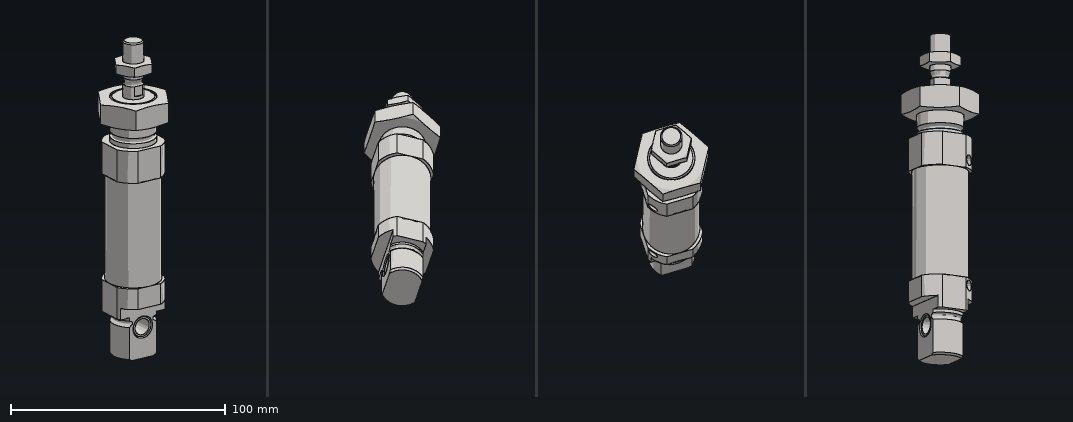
import cadquery as cq
import math


REAR_CAP_BOTTOM = 21.8
REAR_CAP_SHOULDER = 27.4
TUBE_BOTTOM = 37.7
TUBE_TOP = 90.5
FRONT_CAP_TOP = 106.4
MOUNT_NUT_BOTTOM = 117.5
MOUNT_NUT_TOP = 128.5
ROD_NUT_BOTTOM = 141.2
ROD_NUT_TOP = 146.3
ROD_TOP = 156.5

TUBE_DIAMETER = 26.8
CAP_DIAMETER = 29.7
CAP_ACROSS_FLATS = 26.9

NECK_DIAMETER = 22.0
NECK_CHAMFER = 1.0
UNDERCUT_DIAMETER = 19.7
FRONT_COLLAR_TOP = 108.8
FRONT_THREAD_BOTTOM = 111.5
REAR_COLLAR_BOTTOM = 20.2
REAR_THREAD_TOP = 16.9
COLLAR_TAPER_LENGTH = 0.8
UNDERCUT_CONE_LENGTH = 1.4
UNDERCUT_FILLET = 0.3

TONGUE_THICKNESS = 16.0
PIVOT_HEIGHT = 15.6
PIVOT_DIAMETER = 8.0
PIVOT_RECESS_DIAMETER = 9.9
PIVOT_MOUTH_DIAMETER = 11.0

PORT_DIAMETER = 5.0
PORT_DEPTH = 6.3
PORT_ANGLE = 127.0
PORT_HEIGHTS = (34.3, 94.5)

ROD_DIAMETER = 10.0
ROD_CHAMFER = 0.6
ROD_BOTTOM = FRONT_CAP_TOP
ROD_THREAD_BOTTOM = 138.3
ROD_UNDERCUT_DIAMETER = 8.5
ROD_UNDERCUT_FILLET = 0.3
ROD_UNDERCUT_TOP = 136.2
ROD_SHOULDER = 134.9
ROD_ACROSS_FLATS = 8.9
ROD_FLATS_BOTTOM = 130.0

MOUNT_NUT_ACROSS_FLATS = 32.0
ROD_NUT_ACROSS_FLATS = 17.0
NUT_CHAMFER_ANGLE = 15.0


def cylinder(diameter, bottom, top):
    return cq.Workplane("XY").workplane(offset=bottom).circle(diameter / 2).extrude(top - bottom)


def slab(width_x, width_y, bottom, top):
    return cq.Workplane("XY").workplane(offset=bottom).rect(width_x, width_y).extrude(top - bottom)


def revolved(outline):
    """Turn a closed (radius, height) outline around the Z axis."""
    return cq.Workplane("XZ").polyline(outline).close().revolve(360, (0, 0), (0, 1))


def round_undercut(body, radius):
    """Fillet both ends of the undercut, whose edges are the smallest circles of the body."""
    return body.edges(cq.selectors.RadiusNthSelector(0)).fillet(radius)


def make_cap(bottom, top):
    """End cap: a round bar with four flats."""
    return cylinder(CAP_DIAMETER, bottom, top).intersect(
        slab(CAP_ACROSS_FLATS, CAP_ACROSS_FLATS, bottom, top)
    )


def make_front_neck():
    radius = NECK_DIAMETER / 2
    undercut_radius = UNDERCUT_DIAMETER / 2
    body = revolved([
        (0, TUBE_TOP),
        (radius, TUBE_TOP),
        (radius, FRONT_COLLAR_TOP),
        (undercut_radius, FRONT_COLLAR_TOP),
        (undercut_radius, FRONT_THREAD_BOTTOM - UNDERCUT_CONE_LENGTH),
        (radius, FRONT_THREAD_BOTTOM),
        (radius, MOUNT_NUT_TOP - NECK_CHAMFER),
        (radius - NECK_CHAMFER, MOUNT_NUT_TOP),
        (0, MOUNT_NUT_TOP),
    ])
    return round_undercut(body, UNDERCUT_FILLET)


def make_rear_neck():
    radius = NECK_DIAMETER / 2
    undercut_radius = UNDERCUT_DIAMETER / 2
    body = revolved([
        (0, 0),
        (radius - NECK_CHAMFER, 0),
        (radius, NECK_CHAMFER),
        (radius, REAR_THREAD_TOP),
        (undercut_radius, REAR_THREAD_TOP + UNDERCUT_CONE_LENGTH),
        (undercut_radius, REAR_COLLAR_BOTTOM - COLLAR_TAPER_LENGTH),
        (radius, REAR_COLLAR_BOTTOM),
        (radius, TUBE_BOTTOM),
        (0, TUBE_BOTTOM),
    ])
    return round_undercut(body, UNDERCUT_FILLET)


def make_rear_end():
    """Rear cap and neck, flattened below the shoulder into a tongue."""
    tongue = make_cap(REAR_CAP_BOTTOM, REAR_CAP_SHOULDER).union(make_rear_neck())
    tongue = tongue.intersect(slab(TONGUE_THICKNESS, CAP_DIAMETER, 0, REAR_CAP_SHOULDER))
    return make_cap(REAR_CAP_SHOULDER, TUBE_BOTTOM).union(tongue)


def make_pivot_hole():
    """Cross hole along X, with a shallow conical recess in both faces of the tongue."""
    bore_radius = PIVOT_DIAMETER / 2
    recess_radius = PIVOT_RECESS_DIAMETER / 2
    mouth_radius = PIVOT_MOUTH_DIAMETER / 2
    mouth_position = TONGUE_THICKNESS / 2
    recess_position = mouth_position - (mouth_radius - recess_radius)
    outline = [
        (0, -mouth_position),
        (mouth_radius, -mouth_position),
        (recess_radius, -recess_position),
        (bore_radius, -recess_position),
        (bore_radius, recess_position),
        (recess_radius, recess_position),
        (mouth_radius, mouth_position),
        (0, mouth_position),
    ]
    return revolved(outline).rotate((0, 0, 0), (0, 1, 0), 90).translate((0, 0, PIVOT_HEIGHT))


def make_port(height):
    """Blind radial hole that starts outside the cap."""
    angle = math.radians(PORT_ANGLE)
    outward = cq.Vector(math.cos(angle), math.sin(angle), 0)
    floor_center = outward * (CAP_DIAMETER / 2 - PORT_DEPTH) + cq.Vector(0, 0, height)
    return cq.Workplane(cq.Solid.makeCylinder(PORT_DIAMETER / 2, 2 * PORT_DEPTH, floor_center, outward))


def make_housing():
    body = cylinder(TUBE_DIAMETER, TUBE_BOTTOM, TUBE_TOP)
    body = body.union(make_cap(TUBE_TOP, FRONT_CAP_TOP)).union(make_front_neck())
    body = body.union(make_rear_end()).cut(make_pivot_hole())
    body = body.cut(cylinder(ROD_DIAMETER, ROD_BOTTOM, MOUNT_NUT_TOP))
    for height in PORT_HEIGHTS:
        body = body.cut(make_port(height))
    return body


def make_rod():
    radius = ROD_DIAMETER / 2
    undercut_radius = ROD_UNDERCUT_DIAMETER / 2
    body = revolved([
        (0, ROD_BOTTOM),
        (radius, ROD_BOTTOM),
        (radius, ROD_SHOULDER),
        (undercut_radius, ROD_SHOULDER),
        (undercut_radius, ROD_UNDERCUT_TOP),
        (radius, ROD_THREAD_BOTTOM),
        (radius, ROD_TOP - ROD_CHAMFER),
        (radius - ROD_CHAMFER, ROD_TOP),
        (0, ROD_TOP),
    ])
    body = round_undercut(body, ROD_UNDERCUT_FILLET)
    wrench_ring = slab(ROD_DIAMETER, ROD_DIAMETER, ROD_FLATS_BOTTOM, ROD_SHOULDER).cut(
        slab(ROD_ACROSS_FLATS, ROD_DIAMETER, ROD_FLATS_BOTTOM, ROD_SHOULDER)
    )
    return body.cut(wrench_ring)


def make_nut(across_flats, bore, bottom, top):
    """Hexagon nut with corners on the Y axis, chamfered at both ends."""
    corner_radius = across_flats / math.sqrt(3)
    face_radius = across_flats / 2
    chamfer_height = (corner_radius - face_radius) * math.tan(math.radians(NUT_CHAMFER_ANGLE))
    hexagon = (
        cq.Workplane("XY")
        .workplane(offset=bottom)
        .polygon(6, 2 * corner_radius)
        .extrude(top - bottom)
        .rotate((0, 0, 0), (0, 0, 1), 90)
    )
    envelope = revolved([
        (0, bottom),
        (face_radius, bottom),
        (corner_radius, bottom + chamfer_height),
        (corner_radius, top - chamfer_height),
        (face_radius, top),
        (0, top),
    ])
    return hexagon.intersect(envelope).cut(cylinder(bore, bottom, top))


housing = make_housing()
rod = make_rod()
mount_nut = make_nut(MOUNT_NUT_ACROSS_FLATS, NECK_DIAMETER, MOUNT_NUT_BOTTOM, MOUNT_NUT_TOP)
rod_nut = make_nut(ROD_NUT_ACROSS_FLATS, ROD_DIAMETER, ROD_NUT_BOTTOM, ROD_NUT_TOP)

result = cq.Compound.makeCompound([housing.val(), rod.val(), mount_nut.val(), rod_nut.val()])